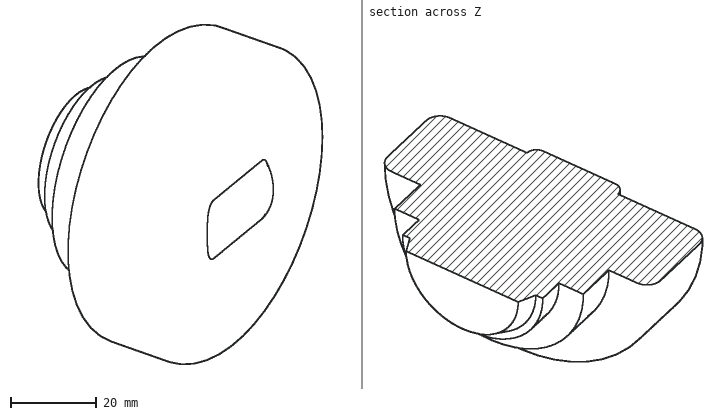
import cadquery as cq

cone_length = 4.35
neck_length = 6.65
shoulder_length = 10.5
wheel_width = 23.8
roller_protrusion = 2.7

tip_radius = 16.0
cone_base_radius = 18.0
neck_radius = 20.0
shoulder_radius = 26.95
wheel_radius = 39.0
wheel_edge_radius = 4.0

roller_radius = 13.5
roller_length = 26.0
roller_edge_radius = 2.7

cone_end = cone_length
neck_end = cone_end + neck_length
shoulder_end = neck_end + shoulder_length
wheel_end = shoulder_end + wheel_width
roller_axis_x = wheel_end + roller_protrusion - roller_radius


def make_stud():
    """Conical tip, neck and shoulder, turned about the X axis."""
    return (
        cq.Workplane("XY")
        .polyline([
            (0, 0),
            (0, tip_radius),
            (cone_end, cone_base_radius),
            (cone_end, neck_radius),
            (neck_end, neck_radius),
            (neck_end, shoulder_radius),
            (shoulder_end, shoulder_radius),
            (shoulder_end, 0),
        ])
        .close()
        .revolve(360, (0, 0, 0), (1, 0, 0))
    )


def make_wheel():
    """Main wheel with both rims rounded."""
    return (
        cq.Workplane("YZ", origin=(shoulder_end, 0, 0))
        .circle(wheel_radius)
        .extrude(wheel_width)
        .edges("%CIRCLE")
        .fillet(wheel_edge_radius)
    )


def make_roller():
    """Side roller with rounded ends, centred on the XZ plane."""
    return (
        cq.Workplane("XZ", origin=(roller_axis_x, 0, 0))
        .circle(roller_radius)
        .extrude(roller_length / 2, both=True)
        .edges("%CIRCLE")
        .fillet(roller_edge_radius)
    )


result = make_stud().union(make_wheel()).union(make_roller())